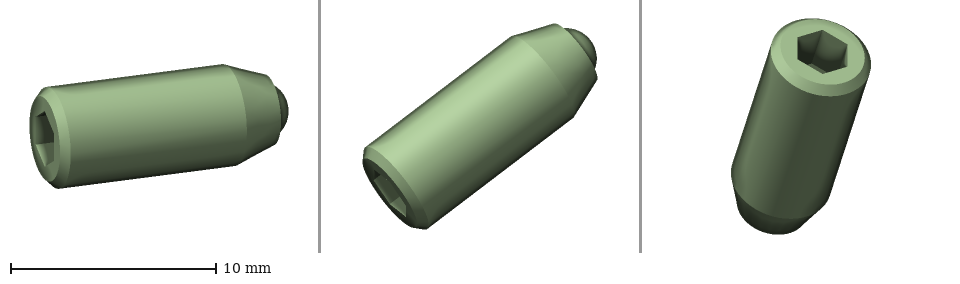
import cadquery as cq

total_length = 12.6
body_diameter = 5.0
ball_diameter = 3.0
ball_protrusion = 0.96

chamfer = 0.4
nose_length = 2.07
nose_diameter = 3.5
hex_across_flats = 2.5
hex_depth = 2.52

body_length = total_length - ball_protrusion
body_radius = body_diameter / 2
nose_start = body_length - nose_length
ball_radius = ball_diameter / 2
ball_center_y = total_length - ball_radius


def make_ball():
    """Full ball held in the nose, standing proud of its end face."""
    return cq.Workplane("XY").sphere(ball_radius).translate((0, ball_center_y, 0))


def make_blank():
    """Turned body: chamfered socket end, straight shank and tapered nose."""
    profile = [
        (0, 0),
        (body_radius - chamfer, 0),
        (body_radius, chamfer),
        (body_radius, nose_start),
        (nose_diameter / 2, body_length),
        (0, body_length),
    ]
    return cq.Workplane("XY").polyline(profile).close().revolve(360, (0, 0, 0), (0, 1, 0))


def make_hex_socket():
    """Hexagonal prism cut into the Y = 0 end, with corners pointing along Z."""
    flat_half_width = hex_across_flats / 2
    corner_radius = hex_across_flats / 3**0.5
    corners = [
        (flat_half_width, corner_radius / 2),
        (0, corner_radius),
        (-flat_half_width, corner_radius / 2),
        (-flat_half_width, -corner_radius / 2),
        (0, -corner_radius),
        (flat_half_width, -corner_radius / 2),
    ]
    return cq.Workplane("XZ").polyline(corners).close().extrude(-hex_depth)


def make_body():
    """Blank with the hex socket and a spherical seat that matches the ball."""
    return make_blank().cut(make_hex_socket()).cut(make_ball())


body = make_body()
ball = make_ball()

result = cq.Compound.makeCompound([body.solids().val(), ball.solids().val()])